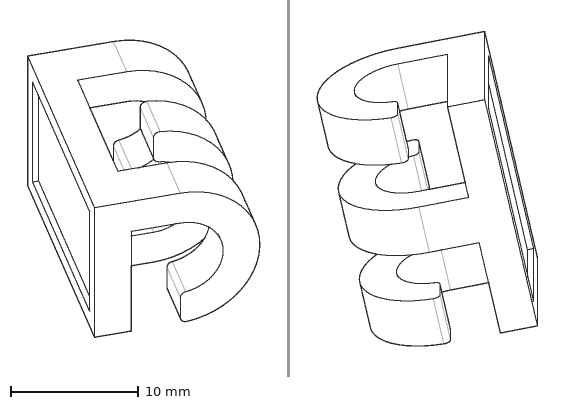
import cadquery as cq

plate_length = 20.0
plate_height = 13.0
plate_thickness = 3.0
rim_width = 1.5
recess_depth = 0.5

hook_width = 4.0
hook_thickness = 3.0
straight_length = 4.0
tip_fillet = 0.5
tip_margin = 0.2

outer_radius = plate_height / 2
inner_radius = outer_radius - hook_thickness
arc_center_y = plate_thickness + straight_length
hook_spacing = (plate_length - hook_width) / 2


def make_plate():
    """Upright plate whose front face lies at Y = 0."""
    plate = cq.Workplane("XY").box(
        plate_length, plate_thickness, plate_height, centered=(True, False, True)
    )
    recess = cq.Workplane("XY").box(
        plate_length - 2 * rim_width,
        recess_depth,
        plate_height - 2 * rim_width,
        centered=(True, False, True),
    )
    return plate.cut(recess)


def make_hook(center_x, root_side):
    """J-shaped hook rooted at the top (root_side = 1) or bottom (-1) of the plate."""
    root_outer = root_side * outer_radius
    root_inner = root_side * inner_radius
    hook = (
        cq.Workplane("YZ", origin=(center_x, 0, 0))
        .moveTo(plate_thickness, root_outer)
        .lineTo(arc_center_y, root_outer)
        .threePointArc((arc_center_y + outer_radius, 0), (arc_center_y, -root_outer))
        .lineTo(arc_center_y, -root_inner)
        .threePointArc((arc_center_y + inner_radius, 0), (arc_center_y, root_inner))
        .lineTo(plate_thickness, root_inner)
        .close()
        .extrude(hook_width / 2, both=True)
    )
    tip_edges = cq.selectors.BoxSelector(
        (center_x - hook_width, arc_center_y - tip_margin, -root_side * (outer_radius + tip_margin)),
        (center_x + hook_width, arc_center_y + tip_margin, 0),
    )
    return hook.edges("|X").edges(tip_edges).fillet(tip_fillet)


result = make_plate()
for position, root_side in ((-1, 1), (0, -1), (1, 1)):
    result = result.union(make_hook(position * hook_spacing, root_side))